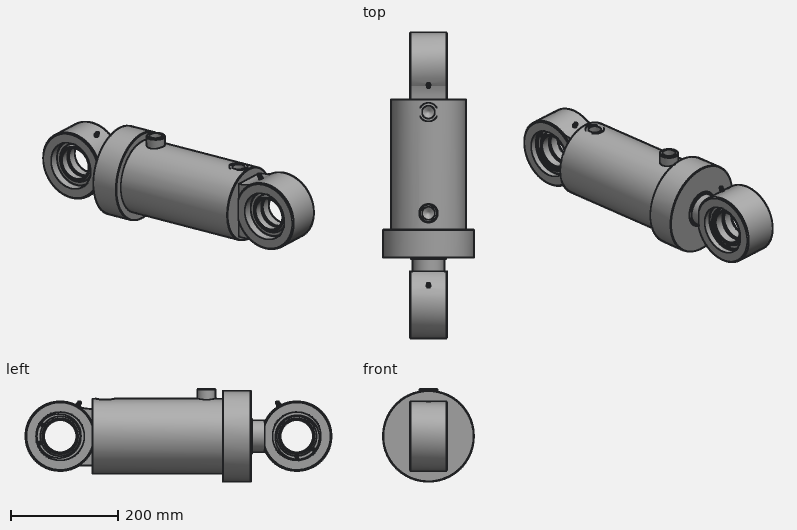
import cadquery as cq
import math

total_length = 570.0
eye_diameter = 130.0
eye_width = 70.0
eye_chamfer = 2.0
eye_flat_distance = 60.0

barrel_diameter = 140.0
barrel_chamfer = 1.0
gland_diameter = 170.0
gland_length = 53.0
gland_chamfer = 1.0
gland_front_y = -135.0
wiper_base_diameter = 68.5
wiper_tip_diameter = 64.0
wiper_length = 2.0
neck_width = 66.5
neck_half_height = 55.0
neck_top_drop = 4.0
rod_diameter = 60.0

port_diameter = 24.0
port_depth = 23.0
port_tip_angle = 118.0
port_boss_diameter = 35.0
port_boss_top_z = 88.0
port_boss_chamfer = 1.5
front_port_y = -52.0
rear_port_y = 136.0
spotface_depth = 1.5

bearing_diameter = 90.0
bearing_outer_width = 36.0
bearing_inner_width = 44.0
race_chamfer = 1.5
bearing_bore = 60.0
bearing_bore_chamfer = 1.0
sphere_diameter = 80.0
race_opening_diameter = 74.0
oil_groove_width = 4.5
oil_groove_depth = 1.0
oil_hole_diameter = 5.0
oil_hole_tilt = 57.0

ring_diameter = 93.5
ring_thickness = 3.0
ring_opening_diameter = 82.0
ring_eccentricity = 2.0
ring_gap_angle = 43.0
rear_gap_direction = 7.0
front_gap_direction = -116.0
lug_angle = 8.0
lug_inner_diameter = 73.0
lug_hole_diameter = 2.0

nipple_tilt = 30.0
nipple_hex_corners = 8.0
nipple_hex_length = 3.0
nipple_neck_diameter = 3.5
nipple_neck_length = 1.5
nipple_head_diameter = 6.0
nipple_head_length = 3.5
nipple_tip_diameter = 3.0
nipple_tip_length = 1.5

eye_radius = eye_diameter / 2
rear_eye_y = total_length / 2 - eye_radius
front_eye_y = -rear_eye_y
barrel_rear_y = rear_eye_y - eye_flat_distance
rod_shoulder_y = front_eye_y + eye_flat_distance
gland_rear_y = gland_front_y + gland_length
ring_inner_x = -bearing_outer_width / 2
ring_outer_x = ring_inner_x - ring_thickness


def cylinder_x(diameter, x_start, x_end):
    """Cylinder about the X axis between two X positions."""
    return cq.Workplane("YZ", origin=(x_start, 0, 0)).circle(diameter / 2).extrude(x_end - x_start)


def cylinder_y(diameter, y_start, y_end):
    """Cylinder about the Y axis between two Y positions."""
    return cq.Workplane("XZ", origin=(0, y_start, 0)).circle(diameter / 2).extrude(y_start - y_end)


def nipple():
    """Grease nipple on the eye rim, tilted toward -Y: hexagon, neck, head and tapered tip."""
    hex_top = eye_radius + nipple_hex_length
    neck_top = hex_top + nipple_neck_length
    head_top = neck_top + nipple_head_length
    tip_top = head_top + nipple_tip_length
    hex_root = eye_radius - nipple_hex_length
    hexagon = cq.Workplane("XY", origin=(0, 0, hex_root)).polygon(6, nipple_hex_corners)
    profile = (
        cq.Workplane("XZ")
        .moveTo(0, hex_root)
        .lineTo(nipple_neck_diameter / 2, hex_root)
        .lineTo(nipple_neck_diameter / 2, neck_top)
        .lineTo(nipple_head_diameter / 2, neck_top)
        .lineTo(nipple_head_diameter / 2, head_top)
        .lineTo(nipple_tip_diameter / 2, tip_top)
        .lineTo(0, tip_top)
        .close()
    )
    stem = profile.revolve(360, (0, 0, 0), (0, 1, 0))
    solid = hexagon.extrude(hex_top - hex_root).union(stem)
    return solid.rotate((0, 0, 0), (1, 0, 0), nipple_tilt)


def eye():
    """Eye centred at the origin, its flat toward -Y, with its bore, ring groove and grease nipple."""
    half_width = eye_width / 2
    body = cylinder_x(eye_diameter, -half_width, half_width).edges().chamfer(eye_chamfer)
    beyond_flat = cq.Workplane("XY").box(
        2 * eye_width, eye_diameter, 2 * eye_diameter
    ).translate((0, -eye_flat_distance - eye_radius, 0))
    bore = cylinder_x(bearing_diameter, -half_width, half_width)
    groove = cylinder_x(ring_diameter, ring_outer_x, ring_inner_x)
    return body.cut(beyond_flat).union(nipple()).cut(bore).cut(groove)


def at_rear(shape):
    return shape.translate((0, rear_eye_y, 0))


def at_front(shape):
    """Mirror an eye so that its flat points to +Y, and move it to the rod end."""
    return shape.mirror("XZ").translate((0, front_eye_y, 0))


def port_hole(y, mouth_z):
    """Blind port along Z with a conical drill tip."""
    radius = port_diameter / 2
    floor_z = mouth_z - port_depth
    tip_z = floor_z - radius / math.tan(math.radians(port_tip_angle / 2))
    profile = (
        cq.Workplane("XZ")
        .moveTo(0, tip_z)
        .lineTo(radius, floor_z)
        .lineTo(radius, mouth_z)
        .lineTo(0, mouth_z)
        .close()
    )
    return profile.revolve(360, (0, 0, 0), (0, 1, 0)).translate((0, y, 0))


def rear_neck():
    """Block from the eye to the barrel end, flat below and with a hollow arc on top.

    The arc starts on the eye rim and runs out level at the barrel end. The block stays
    outside the bearing bore.
    """
    rim_y = rear_eye_y - math.sqrt(eye_radius**2 - neck_half_height**2)
    arc_span = rim_y - barrel_rear_y
    arc_radius = (arc_span**2 + neck_top_drop**2) / (2 * neck_top_drop)
    low_z = neck_half_height - neck_top_drop
    mid_y = barrel_rear_y + arc_span / 2
    mid_z = low_z + arc_radius - math.sqrt(arc_radius**2 - (arc_span / 2) ** 2)
    outline = (
        cq.Workplane("YZ", origin=(-neck_width / 2, 0, 0))
        .moveTo(barrel_rear_y, -neck_half_height)
        .lineTo(barrel_rear_y, low_z)
        .threePointArc((mid_y, mid_z), (rim_y, neck_half_height))
        .lineTo(rim_y, -neck_half_height)
        .close()
    )
    keep_out = cylinder_x(ring_diameter, -eye_width, eye_width).translate((0, rear_eye_y, 0))
    return outline.extrude(neck_width).cut(keep_out)


def build_barrel():
    tube = cylinder_y(barrel_diameter, gland_rear_y, barrel_rear_y).faces(">Y").chamfer(barrel_chamfer)
    gland = cylinder_y(gland_diameter, gland_front_y, gland_rear_y).edges().chamfer(gland_chamfer)
    wiper = (
        cq.Workplane("XZ", origin=(0, gland_front_y, 0))
        .circle(wiper_base_diameter / 2)
        .workplane(offset=wiper_length)
        .circle(wiper_tip_diameter / 2)
        .loft()
    )
    boss = (
        cq.Workplane("XY")
        .center(0, front_port_y)
        .circle(port_boss_diameter / 2)
        .extrude(port_boss_top_z)
        .faces(">Z")
        .chamfer(port_boss_chamfer)
    )
    spotface_z = barrel_diameter / 2 - spotface_depth
    spotface = (
        cq.Workplane("XY", origin=(0, rear_port_y, spotface_z))
        .circle(port_boss_diameter / 2)
        .extrude(barrel_diameter)
    )
    rod_socket = cylinder_y(rod_diameter, gland_front_y - wiper_length, gland_rear_y)
    body = tube.union(gland).union(wiper).union(boss).union(rear_neck()).union(at_rear(eye()))
    body = body.cut(spotface).cut(rod_socket)
    return body.cut(port_hole(front_port_y, port_boss_top_z)).cut(port_hole(rear_port_y, spotface_z))


def build_rod():
    shank = cylinder_y(rod_diameter, rod_shoulder_y, gland_rear_y)
    return shank.union(at_front(eye()))


def build_bearing(oil_hole_angle):
    """Spherical plain bearing at the origin: ball and outer race as one ring about the X axis."""
    half_outer = bearing_outer_width / 2
    half_inner = bearing_inner_width / 2
    race_radius = bearing_diameter / 2
    opening_radius = race_opening_diameter / 2
    bore_radius = bearing_bore / 2
    sphere_radius = sphere_diameter / 2
    opening_x = math.sqrt(sphere_radius**2 - opening_radius**2)
    ball_face_radius = math.sqrt(sphere_radius**2 - half_inner**2)
    arc_x = (opening_x + half_inner) / 2
    arc_radius = math.sqrt(sphere_radius**2 - arc_x**2)
    half_profile = (
        cq.Workplane("XY")
        .moveTo(0, bore_radius)
        .lineTo(half_inner - bearing_bore_chamfer, bore_radius)
        .lineTo(half_inner, bore_radius + bearing_bore_chamfer)
        .lineTo(half_inner, ball_face_radius)
        .threePointArc((arc_x, arc_radius), (opening_x, opening_radius))
        .lineTo(half_outer, opening_radius)
        .lineTo(half_outer, race_radius - race_chamfer)
        .lineTo(half_outer - race_chamfer, race_radius)
        .lineTo(0, race_radius)
        .close()
    )
    half = half_profile.revolve(360, (0, 0, 0), (1, 0, 0))
    oil_groove = cylinder_x(bearing_bore + 2 * oil_groove_depth, -oil_groove_width / 2, oil_groove_width / 2)
    oil_hole = cq.Workplane("XY").circle(oil_hole_diameter / 2).extrude(sphere_radius)
    oil_hole = oil_hole.rotate((0, 0, 0), (1, 0, 0), oil_hole_angle - 90)
    return half.union(half.mirror("YZ")).cut(oil_groove).cut(oil_hole)


def sector_x(start_angle, end_angle):
    """Wedge about the X axis over the ring thickness, its angles measured from +Y toward +Z."""
    reach = ring_diameter
    corners = [
        (reach * math.cos(math.radians(angle)), reach * math.sin(math.radians(angle)))
        for angle in (start_angle, end_angle)
    ]
    wedge = cq.Workplane("YZ", origin=(ring_outer_x, 0, 0)).polyline([(0, 0), *corners]).close()
    return wedge.extrude(ring_thickness)


def build_ring(gap_direction):
    """Internal retaining ring, thinner toward its gap, with a drilled lug at each end."""
    band = cylinder_x(ring_diameter, ring_outer_x, ring_inner_x)
    opening = cylinder_x(ring_opening_diameter, ring_outer_x, ring_inner_x)
    ring = band.cut(opening.translate((0, ring_eccentricity, 0)))
    lug_band = band.cut(cylinder_x(lug_inner_diameter, ring_outer_x, ring_inner_x))
    half_gap = ring_gap_angle / 2
    for side in (-1, 1):
        ends = sorted((side * half_gap, side * (half_gap + lug_angle)))
        ring = ring.union(lug_band.intersect(sector_x(*ends)))
    ring = ring.cut(sector_x(-half_gap, half_gap))
    hole_circle_radius = (bearing_diameter + lug_inner_diameter) / 4
    for side in (-1, 1):
        angle = side * (half_gap + lug_angle / 2)
        hole = cylinder_x(lug_hole_diameter, ring_outer_x, ring_inner_x).translate((0, hole_circle_radius, 0))
        ring = ring.cut(hole.rotate((0, 0, 0), (1, 0, 0), angle))
    return ring.rotate((0, 0, 0), (1, 0, 0), gap_direction)


barrel = build_barrel()
rod = build_rod()
bearings = []
rings = []
for eye_y, oil_hole_angle, gap_direction in (
    (rear_eye_y, -oil_hole_tilt, rear_gap_direction),
    (front_eye_y, oil_hole_tilt - 180, front_gap_direction),
):
    place = (0, eye_y, 0)
    bearings.append(build_bearing(oil_hole_angle).translate(place).val())
    rings.append(build_ring(gap_direction).translate(place).val())

result = cq.Compound.makeCompound([barrel.val(), rod.val(), *bearings, *rings])